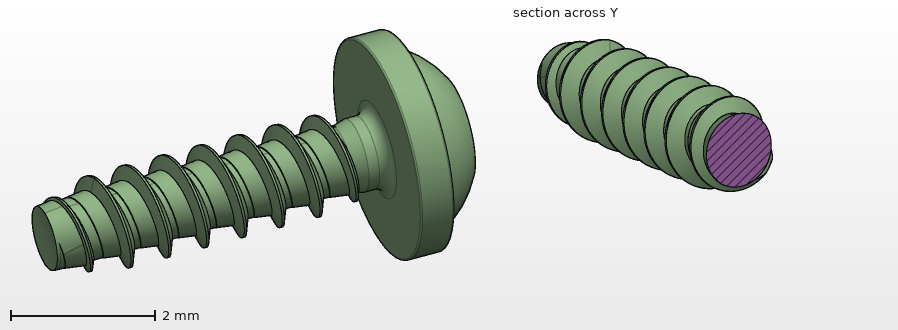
import cadquery as cq
import math


total_length = 6.15
washer_radius = 1.6
washer_thickness = 0.505
washer_edge_radius = 0.025
head_height = 1.155
dome_base_radius = 1.37
dome_top_radius = 0.79
dome_foot_fillet = 0.02

neck_radius = 0.53
neck_fillet = 0.18
neck_length = 0.34
neck_taper_end = 0.555
root_radius = 0.47
tip_radius = 0.46
tip_dish_depth = 0.03
tip_taper_length = 0.4

pitch = 0.568
thread_start = 0.005
crest_radius = 0.7
crest_half_width = 0.02
thread_start_radius = 0.585
full_crest_start = 0.835
tip_runout = 0.84
ramp_radius = 0.515
thread_turns = 9
steps_per_turn = 24

buried_radius = root_radius - 0.035
shank_length = total_length - head_height
full_crest_end = shank_length - tip_runout
dome_centre_height = (
    (dome_top_radius**2 + head_height**2 - dome_base_radius**2 - washer_thickness**2)
    / (2 * (head_height - washer_thickness))
)
dome_radius = math.hypot(dome_base_radius, washer_thickness - dome_centre_height)


def revolve_outline(outline):
    """Turn a closed (radius, Z) outline about the Z axis."""
    return outline.close().revolve(360, (0, 0, 0), (0, 1, 0))


def make_washer():
    outline = cq.Workplane("YZ").lineTo(washer_radius, 0).lineTo(washer_radius, -washer_thickness)
    washer = revolve_outline(outline.lineTo(0, -washer_thickness))
    return washer.edges("%CIRCLE").fillet(washer_edge_radius)


def make_dome():
    middle_height = (washer_thickness + head_height) / 2
    middle_radius = math.sqrt(dome_radius**2 - (middle_height - dome_centre_height) ** 2)
    outline = (
        cq.Workplane("YZ")
        .moveTo(0, -head_height)
        .lineTo(dome_top_radius, -head_height)
        .threePointArc((middle_radius, -middle_height), (dome_base_radius, -washer_thickness))
        .lineTo(dome_base_radius, -washer_thickness / 2)
        .lineTo(0, -washer_thickness / 2)
    )
    return revolve_outline(outline)


def make_head():
    """Washer and dome, with a small fillet where the dome meets the washer."""
    head = make_washer().union(make_dome())
    foot_plane = cq.selectors.BoxSelector(
        (-washer_radius, -washer_radius, -washer_thickness - 0.005),
        (washer_radius, washer_radius, -washer_thickness + 0.005),
        boundingbox=True,
    )
    dome_foot = head.edges("%CIRCLE").edges(foot_plane).edges(cq.selectors.RadiusNthSelector(0))
    return dome_foot.fillet(dome_foot_fillet)


def make_neck():
    """Filleted neck that tapers down to the root of the thread."""
    flare_radius = neck_radius + neck_fillet
    outline = (
        cq.Workplane("YZ")
        .moveTo(0, -washer_thickness / 2)
        .lineTo(flare_radius, -washer_thickness / 2)
        .lineTo(flare_radius, 0)
        .radiusArc((neck_radius, neck_fillet), neck_fillet)
        .lineTo(neck_radius, neck_length)
        .lineTo(root_radius, neck_taper_end)
        .lineTo(0, neck_taper_end)
    )
    return revolve_outline(outline)


def ridge_edge(radius, offset, stretch):
    """Helical edge along one stretch of the ridge, at an axial offset from the crest."""
    start, start_sink, end, end_sink = stretch
    steps = math.ceil(steps_per_turn * (end - start) / pitch)
    points = []
    for step in range(steps + 1):
        share = step / steps
        height = start + share * (end - start)
        angle = 2 * math.pi * (height - thread_start) / pitch
        sunk_radius = radius - start_sink - share * (end_sink - start_sink)
        points.append(
            cq.Vector(sunk_radius * math.cos(angle), sunk_radius * math.sin(angle), height + offset)
        )
    return cq.Edge.makeSpline(points)


def end_cap(edges, end):
    corners = [edge.positionAt(end) for edge in edges]
    return cq.Face.makeFromWires(cq.Wire.makePolygon(corners, close=True))


def make_ridge_stretch(section, stretch):
    edges = [ridge_edge(radius, offset, stretch) for radius, offset in section]
    faces = [cq.Face.makeRuledSurface(edges[i - 1], edges[i]) for i in range(len(edges))]
    faces += [end_cap(edges, 0), end_cap(edges, 1)]
    return cq.Workplane(obj=cq.Solid.makeSolid(cq.Shell.makeShell(faces)))


def make_ridge():
    """Sharp helical ridge, rising at the neck and sinking at the tip."""
    section = [
        (buried_radius, -0.15),
        (crest_radius, -crest_half_width),
        (crest_radius, crest_half_width),
        (buried_radius, 0.12),
    ]
    thread_end = thread_start + thread_turns * pitch
    fade_in_slope = (crest_radius - thread_start_radius) / (full_crest_start - neck_length)
    fade_out_slope = (crest_radius - tip_radius) / tip_runout
    start_sink = fade_in_slope * (full_crest_start - thread_start)
    end_sink = fade_out_slope * (thread_end - full_crest_end)
    stretches = [
        (thread_start, start_sink, full_crest_start, 0),
        (full_crest_start, 0, full_crest_end, 0),
        (full_crest_end, 0, thread_end, end_sink),
    ]
    ridge = make_ridge_stretch(section, stretches[0])
    for stretch in stretches[1:]:
        ridge = ridge.union(make_ridge_stretch(section, stretch))
    return ridge


def make_root_ramp():
    """Helical ramp that thickens the root behind the tip side of the ridge."""
    section = [
        (buried_radius, -0.01),
        (ramp_radius, 0.01),
        (root_radius + 0.005, 0.345),
        (buried_radius, 0.39),
    ]
    helix = cq.Wire.makeHelix(pitch, thread_turns * pitch, root_radius)
    ramp = cq.Workplane("XZ").polyline(section).close().sweep(cq.Workplane(obj=helix), isFrenet=True)
    return ramp.translate((0, 0, thread_start))


def make_tip_taper():
    """Ring with a conical bore that narrows the root towards the tip face."""
    outer_radius = 2 * root_radius
    outline = (
        cq.Workplane("YZ")
        .moveTo(outer_radius, shank_length)
        .lineTo(tip_radius, shank_length)
        .lineTo(ramp_radius, shank_length - tip_taper_length)
        .lineTo(outer_radius, shank_length - tip_taper_length)
    )
    return revolve_outline(outline)


def make_threaded_shank():
    """Root cylinder with the ramp and ridge, cut square below the neck and at the tip."""
    root = revolve_outline(
        cq.Workplane("YZ")
        .lineTo(root_radius, 0)
        .lineTo(root_radius, shank_length)
        .lineTo(0, shank_length)
    )
    threaded_length = (
        cq.Workplane("XY")
        .workplane(offset=neck_length)
        .circle(2 * crest_radius)
        .extrude(shank_length - neck_length)
    )
    ramp = make_root_ramp().intersect(threaded_length)
    ridge = make_ridge().intersect(threaded_length)
    return root.union(ramp).cut(make_tip_taper()).union(ridge)


def make_tip_dish():
    """Shallow ball-shaped hollow across the tip face."""
    ball_radius = (tip_radius**2 + tip_dish_depth**2) / (2 * tip_dish_depth)
    ball_height = shank_length - tip_dish_depth + ball_radius
    return cq.Workplane("XY").sphere(ball_radius).translate((0, 0, ball_height))


head = make_head()
shank = make_threaded_shank().cut(make_tip_dish())
screw = head.union(shank.union(make_neck()))
result = screw.rotate((0, 0, 0), (1, 0, 0), 90)